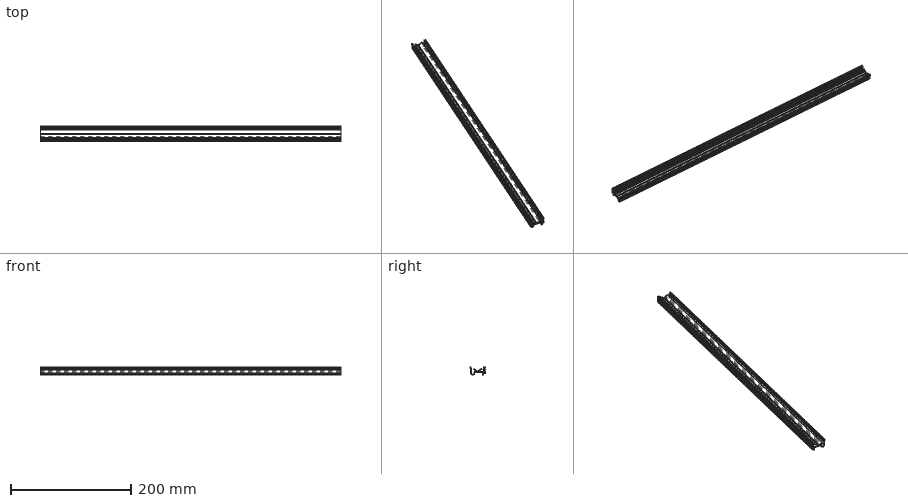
import cadquery as cq

length = 500.0
width = 25.5
height = 13.5
wall = 1.0
thin_wall = 0.75
thick_wall = 1.5

back = width / 2
front = -width / 2
top = height / 2
bottom = -height / 2

floor_top = -0.75
floor_bottom = floor_top - thick_wall
floor_front = -5.5

wall_outer = back - 1.5
wall_inner = wall_outer - thick_wall
lip_thickness = 0.5
top_groove_floor = 5.5
rib_z = 2.25
back_lip_bottom = -3.75
back_lip_thickness = 1.25
wall_fillet_leg = 1.5
foot_inner = wall_inner - 1.75
foot_hook_top = -5.0

arm_root = (-0.75, floor_top)
arm_tip_y = 6.5
arm_tip_z = 3.5

channel_inner_y = -6.0
channel_nub = (-5.0, floor_top)
channel_bottom_z = bottom + wall / 2
channel_side_bottom_z = -5.0
channel_bottom_inner_y = -7.5
channel_bottom_outer_y = -9.0
outer_wall_y = front + 1.5
outer_wall_bottom = -3.75
outer_wall_top = 2.0
bead_y = outer_wall_y + 0.5
bead_top = 3.75
lip_bottom = 5.0
lip_width = 1.5


def box(y_low, y_high, z_low, z_high):
    """Rectangular bar over the full length."""
    size_y = y_high - y_low
    size_z = z_high - z_low
    centre = (0, (y_low + y_high) / 2, (z_low + z_high) / 2)
    return cq.Workplane("XY").box(length, size_y, size_z).translate(centre)


def prism(points):
    """Closed YZ outline extruded over the full length."""
    return cq.Workplane("YZ", origin=(-length / 2, 0, 0)).polyline(points).close().extrude(length)


def sheet(points, thickness):
    """Bent sheet following a centre line, with mitred bends and square ends."""
    path = [cq.Vector(y, z, 0) for y, z in points]
    normals = []
    for start, end in zip(path, path[1:]):
        run = (end - start).normalized()
        normals.append(cq.Vector(-run.y, run.x, 0))
    left = []
    right = []
    for point, before, after in zip(path, normals[:1] + normals, normals + normals[-1:]):
        miter = (before + after) * (thickness / 2 / (1 + before.dot(after)))
        left.append((point + miter).toTuple()[:2])
        right.append((point - miter).toTuple()[:2])
    return prism(left + right[::-1])


def back_wall():
    body = box(wall_inner, wall_outer, floor_bottom, top_groove_floor)
    body = body.union(box(wall_inner, wall_inner + lip_thickness, top_groove_floor, top))
    groove_web_bottom = top_groove_floor - lip_thickness
    body = body.union(box(wall_inner, back, groove_web_bottom, top_groove_floor))
    body = body.union(box(back - lip_thickness, back, groove_web_bottom, top))
    body = body.union(box(wall_inner, back, rib_z - lip_thickness / 2, rib_z + lip_thickness / 2))
    body = body.union(box(wall_inner, back, floor_bottom, floor_top))
    body = body.union(box(back - back_lip_thickness, back, back_lip_bottom, floor_bottom))
    body = body.union(prism([
        (wall_inner, floor_top),
        (wall_inner - wall_fillet_leg, floor_top),
        (wall_inner, floor_top + wall_fillet_leg),
    ]))
    body = body.union(box(foot_inner, foot_inner + thin_wall, bottom, floor_top))
    return body.union(box(foot_inner, wall_inner, bottom, foot_hook_top))


def arms():
    back_arm = sheet([arm_root, (arm_tip_y, arm_tip_z)], wall)
    front_arm = sheet([arm_root, (-arm_tip_y, arm_tip_z)], wall)
    return back_arm.union(front_arm)


def front_channel():
    cup = sheet([
        channel_nub,
        (channel_inner_y, floor_bottom),
        (channel_inner_y, channel_side_bottom_z),
        (channel_bottom_inner_y, channel_bottom_z),
        (channel_bottom_outer_y, channel_bottom_z),
        (outer_wall_y, outer_wall_bottom),
        (outer_wall_y, outer_wall_top),
        (bead_y, outer_wall_top + wall / 2),
        (bead_y, bead_top),
        (front + lip_width / 2, lip_bottom + wall / 2),
    ], wall)
    return cup.union(box(front, front + lip_width, lip_bottom, top))


floor = box(floor_front, wall_inner, floor_bottom, floor_top)
result = floor.union(back_wall()).union(arms()).union(front_channel())